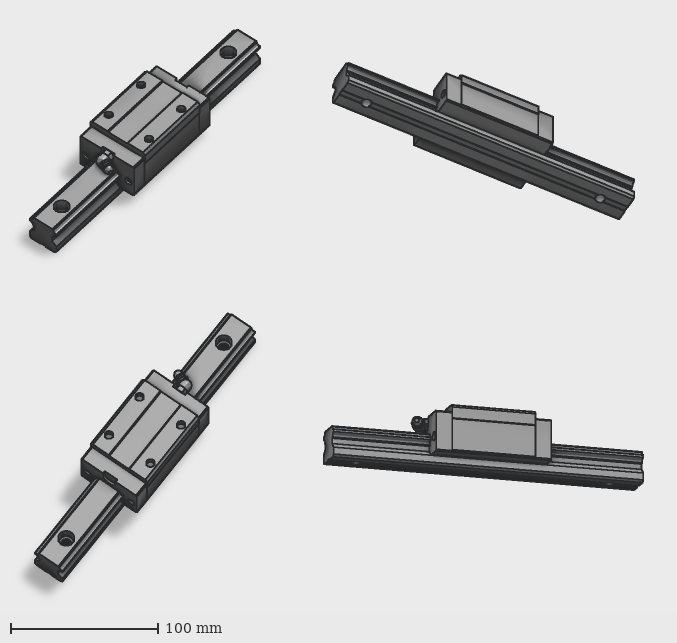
import cadquery as cq
import math


RAIL_LENGTH = 220.0
RAIL_WIDTH = 23.0
RAIL_HEIGHT = 22.2
RAIL_TOP_WIDTH = 17.5
RAIL_BASE_CHAMFER = 1.5
LIP_TOP = 19.1
LIP_BOTTOM = 17.4
LIP_FLAT = 0.5
NECK_WIDTH = 15.5
NECK_BEVEL_START = 14.3
NECK_TOP = 13.6
NECK_BOTTOM = 10.0
BASE_SIDE_TOP = 6.4
BASE_GROOVE_WIDTH = 4.2
BASE_GROOVE_DEPTH = 0.7
RAIL_HOLE_SPACING = 180.0
RAIL_HOLE_DIAMETER = 7.0
RAIL_COUNTERBORE_DIAMETER = 11.0
RAIL_COUNTERBORE_DEPTH = 9.0

BLOCK_WIDTH = 48.0
BLOCK_LENGTH = 59.2
BLOCK_TOP = 40.0
CARRIAGE_BOTTOM = 6.5
BLOCK_TOP_CHAMFER = 2.0
BLOCK_BOTTOM_CHAMFER = 1.5
SIDE_STEP_Z = 30.4
SIDE_STEP = 0.5
TOP_CHANNEL_WIDTH = 17.5
TOP_CHANNEL_DEPTH = 0.7
MOUNT_HOLE_SPACING = 35.0
MOUNT_HOLE_DIAMETER = 6.0
MOUNT_HOLE_DEPTH = 8.0

CAP_WIDTH = 46.9
CAP_TOP = 35.0
CARRIAGE_LENGTH = 81.8
CAP_CHAMFER = 0.9
CAP_SCREW_SPACING = 37.0
CAP_SCREW_Z = 18.0
CAP_RECESS_DIAMETER = 6.0
CAP_RECESS_DEPTH = 2.0
CAP_SOCKET_DIAMETER = 3.3
CAP_SOCKET_DEPTH = 4.0
POCKET_WIDTH = 10.3
POCKET_DEPTH = 2.0

NIPPLE_Z = 30.4
ROOT_HEX_ACROSS_FLATS = 8.0
ROOT_HEX_LENGTH = 4.0
ELBOW_RADIUS = 4.2
ELBOW_CYLINDER_LENGTH = 3.3
SPOUT_ANGLE = 22.5
SPOUT_HEX_ACROSS_FLATS = 7.5
SPOUT_HEX_START = 3.3
SPOUT_HEX_END = 5.0
SPOUT_RADIUS = 3.5
SPOUT_GROOVE_RADIUS = 3.0
SPOUT_GROOVE_START = 6.8
SPOUT_GROOVE_END = 8.0
NOSE_MIDDLE = 10.3
NOSE_MIDDLE_RADIUS = 2.9
SPOUT_LENGTH = 11.9
SPOUT_TIP_RADIUS = 1.5


def extrude_along_y(profile, length):
    """Extrude an XZ profile by the given length, centred on Y = 0."""
    return profile.extrude(length / 2, both=True)


def rail_bar():
    """The rail without its bolt holes."""
    half_width = RAIL_WIDTH / 2
    half_top = RAIL_TOP_WIDTH / 2
    half_neck = NECK_WIDTH / 2
    half_groove = BASE_GROOVE_WIDTH / 2
    lower_radius = half_width - half_top
    upper_radius = lower_radius - LIP_FLAT
    top_chamfer = RAIL_HEIGHT - LIP_TOP - upper_radius
    arc_inset = 1 - math.sqrt(0.5)
    upper_mid = (half_top + upper_radius * arc_inset, LIP_TOP + upper_radius * arc_inset)
    lower_mid = (half_top + lower_radius * arc_inset, LIP_BOTTOM - lower_radius * arc_inset)

    profile = (
        cq.Workplane("XZ")
        .moveTo(0, RAIL_HEIGHT)
        .lineTo(half_top - top_chamfer, RAIL_HEIGHT)
        .lineTo(half_top, RAIL_HEIGHT - top_chamfer)
        .threePointArc(upper_mid, (half_width - LIP_FLAT, LIP_TOP))
        .lineTo(half_width, LIP_TOP)
        .lineTo(half_width, LIP_BOTTOM)
        .threePointArc(lower_mid, (half_top, LIP_BOTTOM - lower_radius))
        .lineTo(half_top, NECK_BEVEL_START)
        .lineTo(half_neck, NECK_TOP)
        .lineTo(half_neck, NECK_BOTTOM)
        .lineTo(half_width, BASE_SIDE_TOP)
        .lineTo(half_width, RAIL_BASE_CHAMFER)
        .lineTo(half_width - RAIL_BASE_CHAMFER, 0)
        .lineTo(half_groove, 0)
        .lineTo(half_groove, BASE_GROOVE_DEPTH)
        .lineTo(0, BASE_GROOVE_DEPTH)
        .mirrorY()
    )
    return extrude_along_y(profile, RAIL_LENGTH)


def make_rail():
    """The rail with its row of counterbored bolt holes."""
    return (
        rail_bar()
        .faces(">Z")
        .workplane(origin=(0, 0, RAIL_HEIGHT))
        .rarray(2.2, RAIL_HOLE_SPACING, 1, 2)
        .cboreHole(RAIL_HOLE_DIAMETER, RAIL_COUNTERBORE_DIAMETER, RAIL_COUNTERBORE_DEPTH)
    )


def carriage_block():
    """The central block: chamfered outline, stepped sides and a shallow channel along the top."""
    half_width = BLOCK_WIDTH / 2
    half_lower = half_width - SIDE_STEP
    half_channel = TOP_CHANNEL_WIDTH / 2
    channel_z = BLOCK_TOP - TOP_CHANNEL_DEPTH
    profile = (
        cq.Workplane("XZ")
        .moveTo(0, channel_z)
        .lineTo(half_channel - TOP_CHANNEL_DEPTH, channel_z)
        .lineTo(half_channel, BLOCK_TOP)
        .lineTo(half_width - BLOCK_TOP_CHAMFER, BLOCK_TOP)
        .lineTo(half_width, BLOCK_TOP - BLOCK_TOP_CHAMFER)
        .lineTo(half_width, SIDE_STEP_Z)
        .lineTo(half_lower, SIDE_STEP_Z - SIDE_STEP)
        .lineTo(half_lower, CARRIAGE_BOTTOM + BLOCK_BOTTOM_CHAMFER)
        .lineTo(half_lower - BLOCK_BOTTOM_CHAMFER, CARRIAGE_BOTTOM)
        .lineTo(0, CARRIAGE_BOTTOM)
        .mirrorY()
    )
    mounting_holes = (
        cq.Workplane("XY", origin=(0, 0, BLOCK_TOP))
        .rarray(MOUNT_HOLE_SPACING, MOUNT_HOLE_SPACING, 2, 2)
        .circle(MOUNT_HOLE_DIAMETER / 2)
        .extrude(-MOUNT_HOLE_DEPTH)
    )
    return extrude_along_y(profile, BLOCK_LENGTH).cut(mounting_holes)


def end_caps():
    """One bar as long as the carriage, whose ends form both end caps."""
    height = CAP_TOP - CARRIAGE_BOTTOM
    return (
        cq.Workplane("XY", origin=(0, 0, CARRIAGE_BOTTOM))
        .box(CAP_WIDTH, CARRIAGE_LENGTH, height, centered=(True, True, False))
        .edges("|Y")
        .chamfer(CAP_CHAMFER)
    )


def cap_cutters():
    """Screw recesses and the U-shaped nipple pocket of the front end cap."""
    face = cq.Workplane("XZ", origin=(0, -CARRIAGE_LENGTH / 2, 0))
    screws = face.center(0, CAP_SCREW_Z).rarray(CAP_SCREW_SPACING, 2.2, 2, 1)
    recesses = screws.circle(CAP_RECESS_DIAMETER / 2).extrude(-CAP_RECESS_DEPTH)
    sockets = screws.circle(CAP_SOCKET_DIAMETER / 2).extrude(-CAP_SOCKET_DEPTH)

    half_width = POCKET_WIDTH / 2
    pocket = (
        face.moveTo(-half_width, CAP_TOP)
        .lineTo(-half_width, NIPPLE_Z)
        .threePointArc((0, NIPPLE_Z - half_width), (half_width, NIPPLE_Z))
        .lineTo(half_width, CAP_TOP)
        .close()
        .extrude(-POCKET_DEPTH)
    )
    return recesses.union(sockets).union(pocket)


def make_carriage():
    """Block and end caps in one piece, fitted around the rail, with both end faces alike."""
    carriage = carriage_block().union(end_caps()).cut(rail_bar())
    front_cutters = cap_cutters()
    for angle in (0, 180):
        carriage = carriage.cut(front_cutters.rotate((0, 0, 0), (0, 0, 1), angle))
    return carriage


def hexagon_diameter(across_flats):
    """Corner-to-corner size of a hexagon."""
    return across_flats / math.cos(math.pi / 6)


def make_nipple():
    """Hexagon root, ball elbow and a turned spout that leans toward -Y."""
    root_y = POCKET_DEPTH - CARRIAGE_LENGTH / 2
    cylinder_y = root_y - ROOT_HEX_LENGTH
    elbow_y = cylinder_y - ELBOW_CYLINDER_LENGTH

    root = (
        cq.Workplane("XZ", origin=(0, root_y, NIPPLE_Z))
        .polygon(6, hexagon_diameter(ROOT_HEX_ACROSS_FLATS))
        .extrude(ROOT_HEX_LENGTH)
    )
    cylinder = (
        cq.Workplane("XZ", origin=(0, cylinder_y, NIPPLE_Z))
        .circle(ELBOW_RADIUS)
        .extrude(ELBOW_CYLINDER_LENGTH)
    )
    ball = cq.Workplane("XY", origin=(0, elbow_y, NIPPLE_Z)).sphere(ELBOW_RADIUS)

    spout_hex = (
        cq.Workplane("YZ", origin=(SPOUT_HEX_START, elbow_y, NIPPLE_Z))
        .polygon(6, hexagon_diameter(SPOUT_HEX_ACROSS_FLATS))
        .extrude(SPOUT_HEX_END - SPOUT_HEX_START)
    )
    spout = (
        cq.Workplane("XY", origin=(0, elbow_y, NIPPLE_Z))
        .moveTo(SPOUT_HEX_START, 0)
        .lineTo(SPOUT_HEX_START, SPOUT_RADIUS)
        .lineTo(SPOUT_GROOVE_START, SPOUT_RADIUS)
        .lineTo(SPOUT_GROOVE_START, SPOUT_GROOVE_RADIUS)
        .lineTo(SPOUT_GROOVE_END, SPOUT_GROOVE_RADIUS)
        .lineTo(SPOUT_GROOVE_END, SPOUT_RADIUS)
        .threePointArc((NOSE_MIDDLE, NOSE_MIDDLE_RADIUS), (SPOUT_LENGTH, SPOUT_TIP_RADIUS))
        .lineTo(SPOUT_LENGTH, 0)
        .close()
        .revolve(360, (0, 0, 0), (1, 0, 0))
        .union(spout_hex)
        .rotate((0, elbow_y, 0), (0, elbow_y, 1), -SPOUT_ANGLE)
    )
    return root.union(cylinder).union(ball).union(spout)


rail = make_rail().solids().val()
carriage = make_carriage().solids().val()
nipple = make_nipple().solids().val()

result = cq.Compound.makeCompound([rail, carriage, nipple])